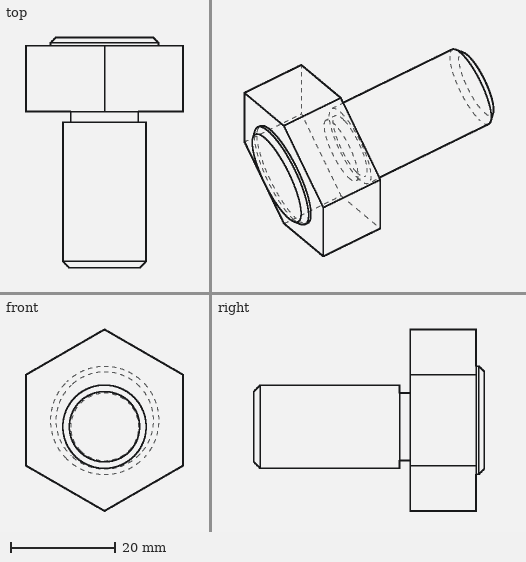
import cadquery as cq
import math

HEAD_SIDES = 6
ACROSS_FLATS = 30.2
HEAD_LENGTH = 12.65

BOSS_DIAMETER = 20.8
BOSS_HEIGHT = 1.58
BOSS_CHAMFER = 1.05

SHANK_DIAMETER = 16.0
SHANK_LENGTH = 30.0
SHANK_CHAMFER = 1.25
SHANK_ECCENTRICITY = 1.25
NECK_DIAMETER = 13.0
NECK_LENGTH = 2.0


def make_head():
    """Hexagonal prism from the bearing face at Y = 0 to Y = HEAD_LENGTH."""
    across_corners = ACROSS_FLATS / math.cos(math.pi / HEAD_SIDES)
    prism = cq.Workplane("XZ").polygon(HEAD_SIDES, across_corners).extrude(-HEAD_LENGTH)
    return prism.rotate((0, 0, 0), (0, 1, 0), 90)


def make_boss():
    """Chamfered disc on the back of the head, centred on the hexagon."""
    boss_radius = BOSS_DIAMETER / 2
    boss_top = HEAD_LENGTH + BOSS_HEIGHT
    profile = (
        cq.Workplane("XY")
        .moveTo(0, HEAD_LENGTH)
        .lineTo(boss_radius, HEAD_LENGTH)
        .lineTo(boss_radius, boss_top - BOSS_CHAMFER)
        .lineTo(boss_radius - BOSS_CHAMFER, boss_top)
        .lineTo(0, boss_top)
        .close()
    )
    return profile.revolve(360, (0, 0, 0), (0, 1, 0))


def make_shank():
    """Neck and chamfered shank turned about their own axis, below the hexagon axis."""
    shank_radius = SHANK_DIAMETER / 2
    neck_radius = NECK_DIAMETER / 2
    profile = (
        cq.Workplane("XY")
        .moveTo(0, 0)
        .lineTo(neck_radius, 0)
        .lineTo(neck_radius, -NECK_LENGTH)
        .lineTo(shank_radius, -NECK_LENGTH)
        .lineTo(shank_radius, -SHANK_LENGTH + SHANK_CHAMFER)
        .lineTo(shank_radius - SHANK_CHAMFER, -SHANK_LENGTH)
        .lineTo(0, -SHANK_LENGTH)
        .close()
    )
    turned = profile.revolve(360, (0, 0, 0), (0, 1, 0))
    return turned.translate((0, 0, -SHANK_ECCENTRICITY))


result = make_head().union(make_boss()).union(make_shank())